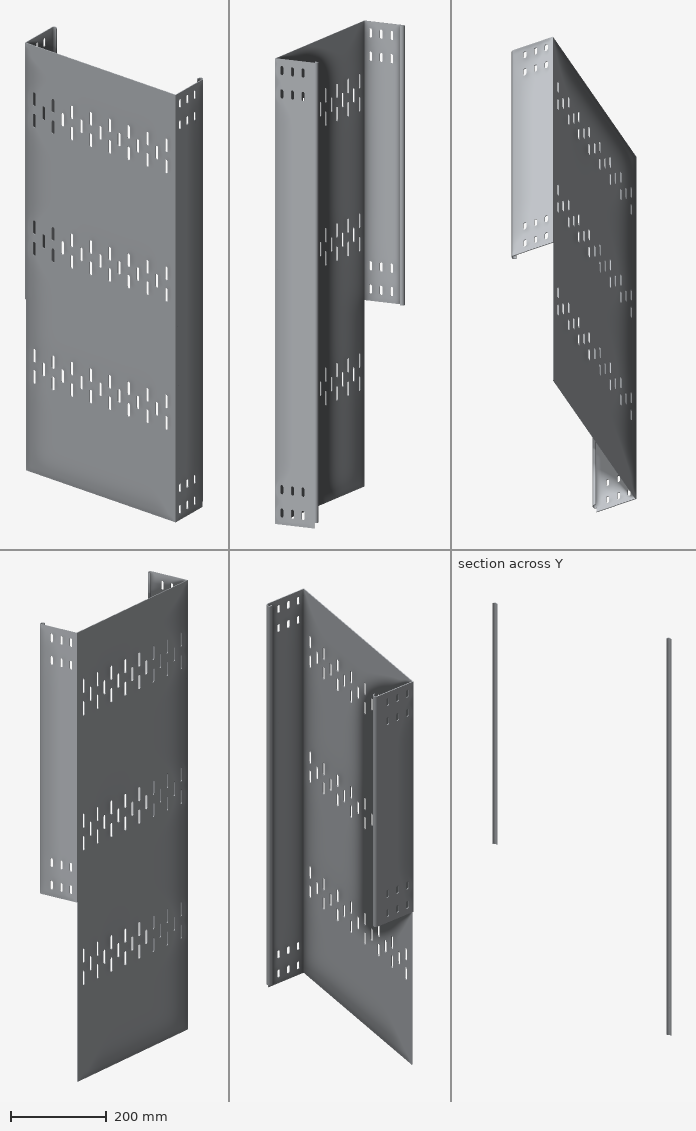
import cadquery as cq

tray_width = 400.0
tray_depth = 98.0
tray_length = 1000.0
sheet = 1.8

left_wall_start = 400.0
floor_setback = 3.4

curl_radius = 6.0
right_curl_start = 12.0
left_curl_tail = 1.0
right_curl_tail = 3.0

slot_width = 7.0
floor_slot_length = 32.0
floor_slot_pitch = 50.0
floor_row_pitch = 25.0
outer_row_count = 8
middle_row_count = 7
floor_group_heights = (250.0, 550.0, 850.0)

wall_slot_length = 20.0
wall_slot_pitch = 25.0
wall_slot_count = 3
first_wall_slot_depth = 15.5
wall_row_insets = (25.0, 75.0)

half_width = tray_width / 2
wall_height = tray_depth - curl_radius
curl_inner_radius = curl_radius - sheet


def block(x, z, width, depth, height):
    """Box with its lower left front corner at (x, 0, z)."""
    return cq.Workplane("XY", origin=(x, 0, z)).box(width, depth, height, centered=False)


def floor_plate():
    """Full-length floor, set back on the left where there is no wall."""
    plate = block(-half_width, 0, tray_width, sheet, tray_length)
    setback = block(-half_width, 0, floor_setback, sheet, left_wall_start)
    return plate.cut(setback)


def floor_slots():
    """Cutters for every slot through the floor."""
    rows = (
        (-floor_row_pitch, outer_row_count),
        (0.0, middle_row_count),
        (floor_row_pitch, outer_row_count),
    )
    points = []
    for group_height in floor_group_heights:
        for row_offset, count in rows:
            first_x = -(count - 1) * floor_slot_pitch / 2
            for column in range(count):
                points.append((first_x + column * floor_slot_pitch, group_height + row_offset))
    return (
        cq.Workplane("XZ")
        .pushPoints(points)
        .slot2D(floor_slot_length, slot_width, 90)
        .extrude(-sheet)
    )


def curl(start, tail):
    """Half-round curl turned inward from the +X wall, ending in a short straight tail."""
    center_x = half_width - curl_radius
    tail_end = wall_height - tail
    return (
        cq.Workplane("XY", origin=(0, 0, start))
        .moveTo(half_width, wall_height)
        .threePointArc((center_x, tray_depth), (center_x - curl_radius, wall_height))
        .lineTo(center_x - curl_radius, tail_end)
        .lineTo(center_x - curl_inner_radius, tail_end)
        .lineTo(center_x - curl_inner_radius, wall_height)
        .threePointArc((center_x, tray_depth - sheet), (half_width - sheet, wall_height))
        .close()
        .extrude(tray_length - start)
    )


def wall_slots(wall_start):
    """Cutters for the slots at both ends of a +X wall that begins at the given height."""
    heights = [wall_start + inset for inset in wall_row_insets]
    heights += [tray_length - inset for inset in wall_row_insets]
    depths = [first_wall_slot_depth + i * wall_slot_pitch for i in range(wall_slot_count)]
    points = [(depth, height) for depth in depths for height in heights]
    return (
        cq.Workplane("YZ", origin=(half_width - sheet, 0, 0))
        .pushPoints(points)
        .slot2D(wall_slot_length, slot_width, 90)
        .extrude(sheet)
    )


def slotted_wall(wall_start, curl_start, tail):
    """Complete wall with its curl and slots, on the +X side."""
    wall = block(half_width - sheet, wall_start, sheet, wall_height, tray_length - wall_start)
    return wall.union(curl(curl_start, tail)).cut(wall_slots(wall_start))


slotted_floor = floor_plate().cut(floor_slots())
right_wall = slotted_wall(0.0, right_curl_start, right_curl_tail)
left_wall = slotted_wall(left_wall_start, left_wall_start, left_curl_tail).mirror("YZ")

result = slotted_floor.union(right_wall).union(left_wall)